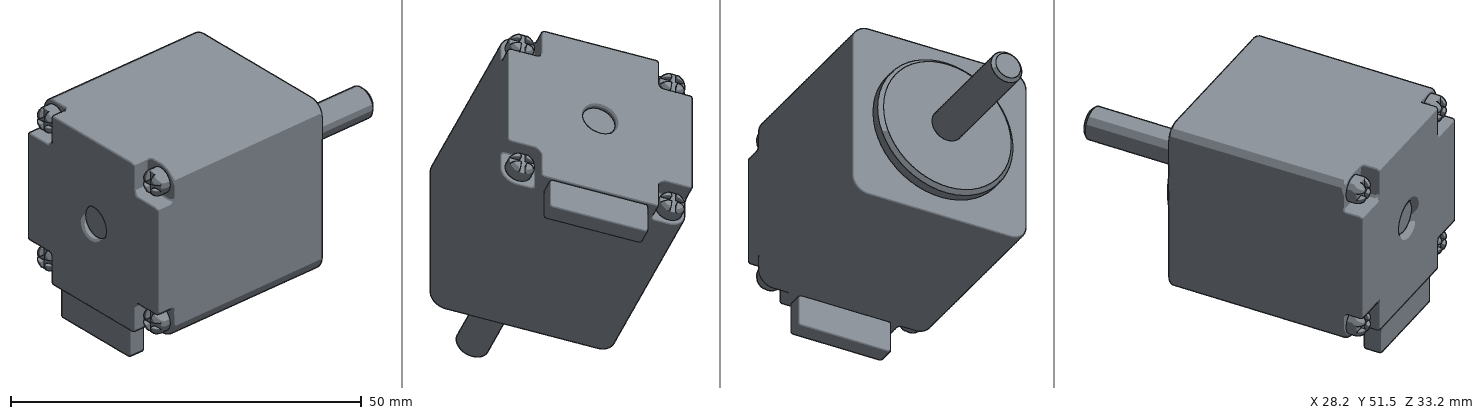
import cadquery as cq


BODY_SIDE = 28.2
BODY_LENGTH = 31.5
BODY_CORNER_RADIUS = 2.5
EDGE_RADIUS = 0.5
BOSS_DIAMETER = 22.0
BOSS_HEIGHT = 2.0
BOSS_CHAMFER = 0.6

POCKET_SIDE = 5.15
POCKET_DEPTH = 3.0
POCKET_CORNER_RADIUS = 1.0

SHAFT_DIAMETER = 5.0
SHAFT_CHAMFER = 0.5
TOTAL_LENGTH = 51.5
OPENING_RADIUS = 1.0

SCREW_SPACING = 22.95
HEAD_DIAMETER = 4.0
HEAD_STRAIGHT_HEIGHT = 1.0
HEAD_DOME_HEIGHT = 1.5
HEAD_FLAT_DIAMETER = 1.0
SLOT_WIDTH = 0.8
SLOT_DEPTH = 0.8
SLOT_RIM_RADIUS = 0.15

CONNECTOR_WIDTH = 15.0
CONNECTOR_THICKNESS = 3.0
CONNECTOR_HEIGHT = 5.0

HALF_SIDE = BODY_SIDE / 2
CORNER_SIGNS = [(-1, -1), (-1, 1), (1, -1), (1, 1)]

MARGIN = 0.005


def rod(diameter, start, end):
    """Cylinder on the motor axis between two Y positions."""
    return cq.Workplane("XZ", origin=(0, start, 0)).circle(diameter / 2).extrude(start - end)


def near_axis(half_width, start, end):
    """Selector for whatever has its center in a square region around the motor axis."""
    return cq.selectors.BoxSelector(
        (-half_width - MARGIN, start - MARGIN, -half_width - MARGIN),
        (half_width + MARGIN, end + MARGIN, half_width + MARGIN),
    )


def cut_screw_pockets(body):
    """Cut a square pocket into each rear corner."""
    for x_sign, z_sign in CORNER_SIGNS:
        pocket = cq.Workplane("XY").box(2 * POCKET_SIDE, 2 * POCKET_DEPTH, 2 * POCKET_SIDE)
        body = body.cut(pocket.translate((x_sign * HALF_SIDE, 0, z_sign * HALF_SIDE)))
    return body


def round_pockets(body):
    """Round the pocket edges, from the rear face inwards, and then the outer rear edges."""
    inner_limit = HALF_SIDE - POCKET_SIDE / 4
    rear_inner = near_axis(inner_limit, 0, 0)
    floor_inner = near_axis(inner_limit, POCKET_DEPTH, POCKET_DEPTH)
    wall_corners = near_axis(HALF_SIDE - POCKET_SIDE, 0, POCKET_DEPTH)
    skin = near_axis(HALF_SIDE, 0, POCKET_DEPTH) - near_axis(inner_limit, 0, POCKET_DEPTH)

    body = body.edges(rear_inner).fillet(EDGE_RADIUS)
    body = body.edges("|Y").edges(wall_corners).fillet(POCKET_CORNER_RADIUS)
    body = body.edges(floor_inner).fillet(EDGE_RADIUS)
    return body.edges(skin).fillet(EDGE_RADIUS)


def make_housing():
    body = cq.Workplane("XZ").rect(BODY_SIDE, BODY_SIDE).extrude(-BODY_LENGTH)
    body = body.edges("|Y").fillet(BODY_CORNER_RADIUS)
    body = round_pockets(cut_screw_pockets(body))
    body = body.faces(">Y").edges().fillet(EDGE_RADIUS)
    boss = rod(BOSS_DIAMETER, BODY_LENGTH, BODY_LENGTH + BOSS_HEIGHT)
    boss = boss.faces(">Y").edges().chamfer(BOSS_CHAMFER)
    body = body.union(boss)
    body = body.cut(rod(SHAFT_DIAMETER, 0, TOTAL_LENGTH))
    rear_opening = body.faces("<Y").edges(near_axis(SHAFT_DIAMETER, 0, 0))
    return rear_opening.fillet(OPENING_RADIUS)


def make_shaft():
    shaft = rod(SHAFT_DIAMETER, OPENING_RADIUS, TOTAL_LENGTH)
    return shaft.faces(">Y").edges().chamfer(SHAFT_CHAMFER)


def make_connector():
    connector = cq.Workplane("XY").box(CONNECTOR_WIDTH, CONNECTOR_THICKNESS, CONNECTOR_HEIGHT)
    connector = connector.edges("|Z").fillet(EDGE_RADIUS)
    connector = connector.faces("<Z").edges().fillet(EDGE_RADIUS)
    y_center = EDGE_RADIUS + CONNECTOR_THICKNESS / 2
    return connector.translate((0, y_center, -HALF_SIDE - CONNECTOR_HEIGHT / 2))


def cut_cross_slot(head, height):
    """Cut a cross slot through the dome and round its rim."""
    cross = cq.Workplane("XY").box(2 * HEAD_DIAMETER, 2 * SLOT_DEPTH, SLOT_WIDTH)
    cross = cross.union(cross.rotate((0, 0, 0), (0, 1, 0), 90))
    head = head.cut(cross.translate((0, height, 0)))
    slot_edges = head.edges(near_axis(HEAD_DIAMETER, height - SLOT_DEPTH, height))
    return slot_edges.edges("not (|X or |Z)").fillet(SLOT_RIM_RADIUS)


def make_screw(x, z):
    """Domed screw head with a cross slot, standing on a pocket floor and facing -Y."""
    radius = HEAD_DIAMETER / 2
    height = HEAD_STRAIGHT_HEIGHT + HEAD_DOME_HEIGHT
    head = (
        cq.Workplane("XY")
        .lineTo(radius, 0)
        .lineTo(radius, HEAD_STRAIGHT_HEIGHT)
        .tangentArcPoint((HEAD_FLAT_DIAMETER / 2, height), relative=False)
        .lineTo(0, height)
        .close()
        .revolve(360, (0, 0, 0), (0, 1, 0))
    )
    head = cut_cross_slot(head, height)
    head = head.rotate((0, 0, 0), (0, 0, 1), 180)
    return head.translate((x, POCKET_DEPTH, z))


housing = make_housing()
shaft = make_shaft()
connector = make_connector()
screws = []
for x_sign, z_sign in CORNER_SIGNS:
    screw = make_screw(x_sign * SCREW_SPACING / 2, z_sign * SCREW_SPACING / 2)
    screws.append(screw.solids().val())

result = cq.Compound.makeCompound(
    [housing.solids().val(), shaft.solids().val(), connector.solids().val(), *screws]
)